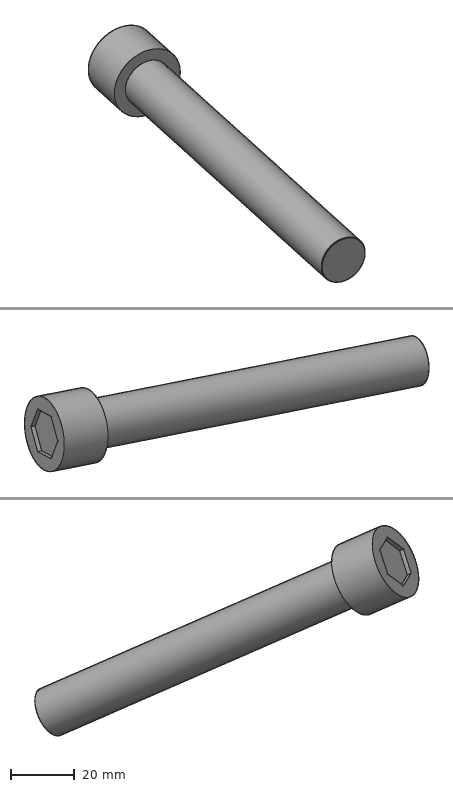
import cadquery as cq
import math

thread_diameter = 16.0
shank_length = 120.0
head_diameter = 1.5 * thread_diameter
head_height = thread_diameter
socket_across_flats = 14.0
socket_depth = 1.5
hexagon_sides = 6
tip_chamfer = 0.2


def make_head():
    """Plain cylindrical head, running from the bearing face toward -X."""
    return cq.Workplane("YZ").circle(head_diameter / 2).extrude(-head_height)


def make_shank():
    """Smooth shank with a small chamfer around its tip."""
    shank = cq.Workplane("YZ").circle(thread_diameter / 2).extrude(shank_length)
    return shank.faces(">X").edges().chamfer(tip_chamfer)


def make_socket():
    """Hexagonal key socket, with two corners on the Y axis and flats facing +Z and -Z."""
    across_corners = socket_across_flats / math.cos(math.pi / hexagon_sides)
    return (
        cq.Workplane("YZ", origin=(-head_height, 0, 0))
        .polygon(hexagon_sides, across_corners)
        .extrude(socket_depth)
    )


result = make_head().union(make_shank()).cut(make_socket())